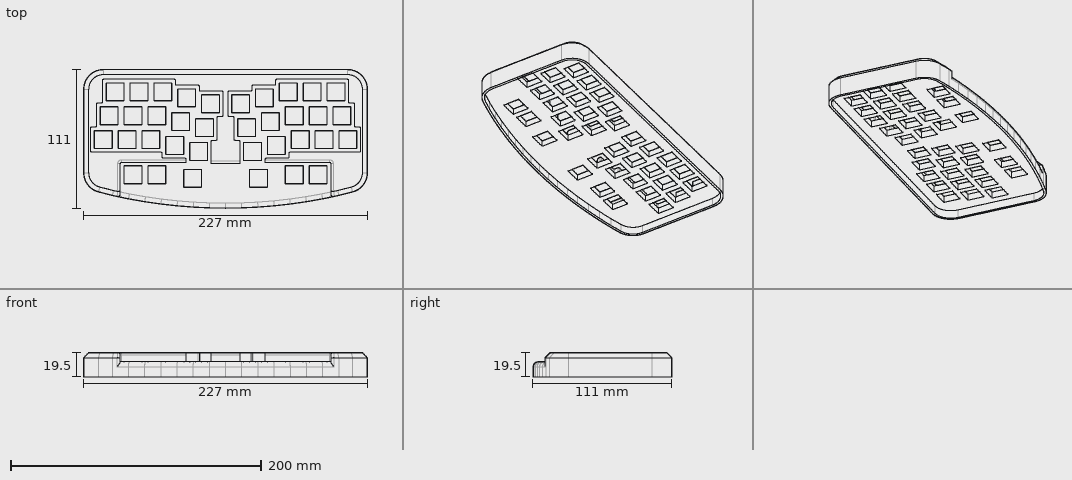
import cadquery as cq
import math

LENGTH = 227.0
DEPTH = 111.0
HEIGHT = 19.5
FRONT_ARC_RADIUS = 408.8
FACET_WIDTH = 13.0
FACETS_PER_SIDE = 7
CORNER_RADIUS = 16.0
TOP_CHAMFER = 4.0
SHELL_WALL = 2.0

PLATE_TOP = 12.3
PLATE_THICKNESS = 5.5
PLATE_UNDERSIDE = PLATE_TOP - PLATE_THICKNESS

KEY_PITCH = 19.0
ROW_SHIFT = KEY_PITCH / 4
COLUMN_DROPS = [2 * ROW_SHIFT, ROW_SHIFT, 0.0, 0.0, 0.0]
ROW_COUNT = 3
INNER_KEY_X = 12.0
FIRST_ROW_SETBACK = 18.0
KEY_HOLE = 14.0
KEY_POCKET = 20.2
POCKET_CORNER_RADIUS = 1.0
GAP_FILLER = KEY_PITCH / 2

INNER_THUMB_X = 26.3
INNER_THUMB_SETBACK = 87.2
OUTER_THUMB_SETBACK = 84.3
THUMB_KEYS = [
    (INNER_THUMB_X, INNER_THUMB_SETBACK),
    (INNER_THUMB_X + 1.5 * KEY_PITCH, OUTER_THUMB_SETBACK),
    (INNER_THUMB_X + 2.5 * KEY_PITCH, OUTER_THUMB_SETBACK),
]

RECESS_HALF_WIDTH = 84.3
RECESS_SETBACK = 74.5
RECESS_EDGE_RADIUS = 2.0
RECESS_CORNER_RADIUS = 1.0
FRONT_LIP_RADIUS = 4.0
POST_WIDTH = 27.3
POST_LENGTH = 27.3
POST_FRONT_SETBACK = 75.5

MARGIN = 0.2

BACK_Y = DEPTH / 2


def y_at(setback):
    """Y position at a given distance in front of the back edge."""
    return BACK_Y - setback


def front_setback(x):
    """Distance of the bowed front edge from the back edge at a given X."""
    return DEPTH - FRONT_ARC_RADIUS + math.sqrt(FRONT_ARC_RADIUS**2 - x**2)


def body_outline():
    """Sharp-cornered rectangle whose front edge bows outwards in flat facets."""
    half_length = LENGTH / 2
    facet_ends = [i * FACET_WIDTH for i in range(-FACETS_PER_SIDE, FACETS_PER_SIDE + 1)]
    front_x = [-half_length] + facet_ends + [half_length]
    front_points = [(x, y_at(front_setback(x))) for x in front_x]
    back_points = [(half_length, BACK_Y), (-half_length, BACK_Y)]
    return cq.Workplane("XY").polyline(front_points + back_points).close()


def body_block(height):
    """Solid block of the body shape with rounded corners."""
    block = body_outline().extrude(height)
    return block.edges("|Z and (<X or >X)").fillet(CORNER_RADIUS)


def mirrored(positions):
    """The given positions on both sides of the centre line."""
    return [(side * x, y) for side in (-1, 1) for x, y in positions]


def key_position(column, row):
    """Centre of a main key; columns count outwards and rows count forwards."""
    x = INNER_KEY_X + column * KEY_PITCH + row * ROW_SHIFT
    setback = FIRST_ROW_SETBACK + COLUMN_DROPS[column] + row * KEY_PITCH
    return (x, y_at(setback))


def main_key_positions():
    columns = range(len(COLUMN_DROPS))
    return mirrored([key_position(column, row) for column in columns for row in range(ROW_COUNT)])


def pocket_gap_positions():
    """Middle of every group of four keys, where stepped columns leave a gap."""
    positions = []
    for column in range(len(COLUMN_DROPS) - 1):
        for row in range(ROW_COUNT - 1):
            x1, y1 = key_position(column, row)
            x2, y2 = key_position(column + 1, row + 1)
            positions.append(((x1 + x2) / 2, (y1 + y2) / 2))
    return mirrored(positions)


def thumb_key_positions():
    return mirrored([(x, y_at(setback)) for x, setback in THUMB_KEYS])


def upper_body():
    """Full-height block with the thumb recess cut out of its front.

    The recess runs right down through the block; its rim and outer upright
    edges are rounded, while the upright inner corners keep their own radius.
    """
    block = body_block(HEIGHT).faces(">Z").chamfer(TOP_CHAMFER)
    recess_back = y_at(RECESS_SETBACK)
    recess = (
        cq.Workplane("XY", origin=(0, recess_back, 0))
        .rect(2 * RECESS_HALF_WIDTH, 2 * RECESS_SETBACK)
        .extrude(HEIGHT)
        .translate((0, -RECESS_SETBACK, 0))
        .edges("|Z and >Y")
        .fillet(RECESS_CORNER_RADIUS)
    )
    opened = block.cut(recess)
    rim = cq.selectors.BoxSelector(
        (-RECESS_HALF_WIDTH - MARGIN, -DEPTH, MARGIN),
        (RECESS_HALF_WIDTH + MARGIN, recess_back + MARGIN, HEIGHT + MARGIN),
    )
    inner_corners = cq.selectors.BoxSelector(
        (-RECESS_HALF_WIDTH - MARGIN, recess_back - 2 * RECESS_CORNER_RADIUS, MARGIN),
        (RECESS_HALF_WIDTH + MARGIN, recess_back + MARGIN, HEIGHT - MARGIN),
    )
    return opened.edges(rim - inner_corners).fillet(RECESS_EDGE_RADIUS)


def front_lip():
    """Plate-height block whose rounded front edge shows in the thumb recess."""
    return body_block(PLATE_TOP).faces(">Z").edges().fillet(FRONT_LIP_RADIUS)


def centre_post():
    """Tongue between the two key fields, rounded along its front edge."""
    return (
        cq.Workplane("XY", origin=(0, y_at(POST_FRONT_SETBACK) + POST_LENGTH / 2, PLATE_TOP))
        .rect(POST_WIDTH, POST_LENGTH)
        .extrude(HEIGHT - PLATE_TOP)
        .edges(">Z and <Y")
        .fillet(RECESS_EDGE_RADIUS)
    )


def square_above_plate(x, y, side):
    """Square prism standing on the key plate and reaching past the top face."""
    return cq.Workplane("XY", origin=(x, y, PLATE_TOP)).rect(side, side).extrude(HEIGHT)


def key_pockets():
    """Stepped recesses around the main keys, from the plate upwards."""
    pockets = cq.Workplane("XY")
    for x, y in main_key_positions():
        pockets = pockets.union(square_above_plate(x, y, KEY_POCKET))
    for x, y in pocket_gap_positions():
        pockets = pockets.union(square_above_plate(x, y, GAP_FILLER))
    return pockets.clean().edges("|Z").fillet(POCKET_CORNER_RADIUS)


def key_holes():
    """Square holes through the plate for every key."""
    return (
        cq.Workplane("XY")
        .pushPoints(main_key_positions() + thumb_key_positions())
        .rect(KEY_HOLE, KEY_HOLE)
        .extrude(HEIGHT)
    )


def underside_cavity():
    """Hollow below the plate, leaving a wall of even thickness."""
    return (
        body_block(PLATE_UNDERSIDE)
        .faces("<Z")
        .wires()
        .toPending()
        .offset2D(-SHELL_WALL)
        .extrude(PLATE_UNDERSIDE, combine=False)
    )


result = (
    upper_body()
    .union(front_lip())
    .union(centre_post())
    .cut(key_pockets())
    .cut(key_holes())
    .cut(underside_cavity())
)